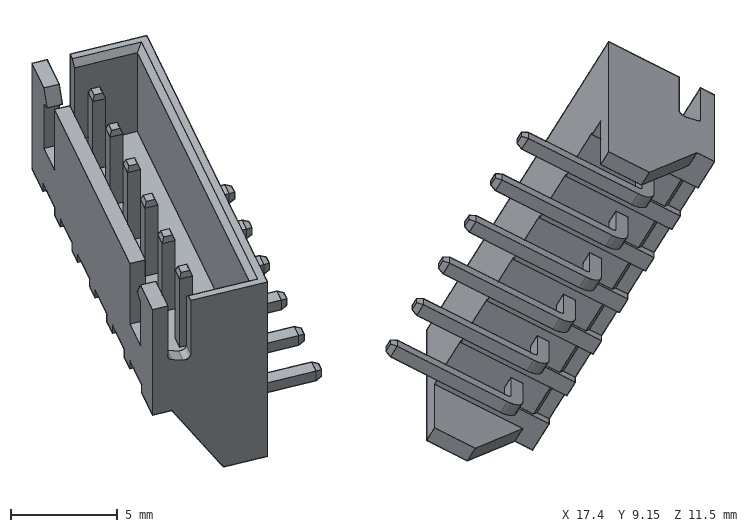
import cadquery as cq
import math


width = 17.4
depth = 5.7
height = 11.5
shroud_height = 6.96
front_wall = 0.77
rear_wall = 0.7
side_wall = 0.65
rim_chamfer = 0.31

front_floor_depth = 5.12
rear_floor_depth = 5.5

leg_thickness = 0.77
leg_foot_depth = 2.2
leg_slope_start = 0.95

slot_rear = 1.9
slot_depth_front = 3.53
slot_angle = 20.0
slot_radius = 0.3

window_edge = 1.74
window_width = 1.51
window_depth = 3.98
barb_reach = 0.47
barb_tip_depth = 0.89
barb_depth = 1.1

pin_count = 6
pin_pitch = 2.5
pin_size = 0.65
pin_front = 2.07
pin_tip_below_rim = 0.31
pin_rear = 9.15
pin_bottom = 2.0
bend_radius = 0.84
tip_length = 0.31
tip_inset = 0.1

channel_width = 1.69
channel_front_height = 0.52
channel_height = 0.2

shroud_bottom = height - shroud_height
pin_back = pin_front + pin_size
pin_positions = [(i - (pin_count - 1) / 2) * pin_pitch for i in range(pin_count)]
leg_slope_run = (depth - leg_foot_depth - leg_slope_start) / shroud_bottom


def box(x0, x1, y0, y1, z0, z1):
    """Box between two opposite corners."""
    return cq.Workplane("XY").box(x1 - x0, y1 - y0, z1 - z0, centered=False).translate((x0, y0, z0))


def extrude_x(points, x0, x1):
    """Extrude a closed (Y, Z) outline from x0 to x1."""
    return cq.Workplane("YZ", origin=(x0, 0, 0)).polyline(points).close().extrude(x1 - x0)


def slope_y(z):
    """Y of the sloping front plane of the legs at height z."""
    return leg_slope_start + (shroud_bottom - z) * leg_slope_run


def make_leg(x0):
    outline = [
        (slope_y(shroud_bottom), shroud_bottom),
        (slope_y(0), 0),
        (depth, 0),
        (depth, shroud_bottom),
    ]
    return extrude_x(outline, x0, x0 + leg_thickness)


def make_cavity():
    """Stepped cavity: the floor is deeper behind the pins."""
    half = width / 2 - side_wall
    rear = depth - rear_wall
    front_part = box(-half, half, front_wall, pin_back, height - front_floor_depth, height)
    rear_part = box(-half, half, pin_back, rear, height - rear_floor_depth, height)
    return front_part.union(rear_part)


def make_rim_chamfer():
    """Tapered lead-in along the rear and side walls; the front wall stays square."""
    half = width / 2 - side_wall
    rear = depth - rear_wall
    lead_in = (
        cq.Workplane("XY", origin=(0, 0, height - rim_chamfer))
        .rect(2 * half, 2 * rear)
        .workplane(offset=rim_chamfer)
        .rect(2 * (half + rim_chamfer), 2 * (rear + rim_chamfer))
        .loft(ruled=True)
    )
    return lead_in.intersect(box(-width, width, front_wall, depth, 0, height))


def make_side_slot():
    """Slot through both side walls just behind the front wall, with a sloping round-cornered bottom."""
    bottom_front = height - slot_depth_front
    bottom_rear = bottom_front - (slot_rear - front_wall) * math.tan(math.radians(slot_angle))
    outline = [
        (front_wall, height),
        (front_wall, bottom_front),
        (slot_rear, bottom_rear),
        (slot_rear, height),
    ]
    slot = extrude_x(outline, -width / 2, width / 2)
    return slot.edges("|X").edges("not(>Z)").fillet(slot_radius)


def make_window(side):
    """Latch window on one side (-1 left, +1 right), narrowed by a barb on its outer edge."""
    outer = width / 2 - window_edge
    inner = outer - window_width
    outline = [
        (inner, height),
        (inner, height - window_depth),
        (outer, height - window_depth),
        (outer, height - barb_depth),
        (outer - barb_reach, height - barb_tip_depth),
        (outer, height),
    ]
    points = [(side * x, z) for x, z in outline]
    return cq.Workplane("XZ").polyline(points).close().extrude(-front_wall)


def make_channel(x):
    """Channel under one pin: taller at the front, then following the leg slope down to a lower roof."""
    front_roof = shroud_bottom + channel_front_height
    roof = shroud_bottom + channel_height
    outline = [
        (0, shroud_bottom),
        (0, front_roof),
        (slope_y(front_roof), front_roof),
        (slope_y(roof), roof),
        (depth, roof),
        (depth, shroud_bottom),
    ]
    return extrude_x(outline, x - channel_width / 2, x + channel_width / 2)


def make_tip(plane):
    """Tapered pin end standing on the given plane."""
    end_size = pin_size - 2 * tip_inset
    return (
        cq.Workplane(plane)
        .rect(pin_size, pin_size)
        .workplane(offset=tip_length)
        .rect(end_size, end_size)
        .loft(ruled=True)
    )


def make_pin(x):
    """Square pin rising into the cavity and bent to leave at the rear."""
    top_shoulder = height - pin_tip_below_rim - tip_length
    rear_shoulder = pin_rear - tip_length
    inner_radius = bend_radius - pin_size
    bend_y = pin_front + bend_radius
    bend_z = pin_bottom + bend_radius
    diagonal = math.sqrt(0.5)
    shank = (
        cq.Workplane("YZ", origin=(x - pin_size / 2, 0, 0))
        .moveTo(pin_front, top_shoulder)
        .lineTo(pin_front, bend_z)
        .threePointArc(
            (bend_y - bend_radius * diagonal, bend_z - bend_radius * diagonal),
            (bend_y, pin_bottom),
        )
        .lineTo(rear_shoulder, pin_bottom)
        .lineTo(rear_shoulder, pin_bottom + pin_size)
        .lineTo(bend_y, pin_bottom + pin_size)
        .threePointArc(
            (bend_y - inner_radius * diagonal, bend_z - inner_radius * diagonal),
            (pin_back, bend_z),
        )
        .lineTo(pin_back, top_shoulder)
        .close()
        .extrude(pin_size)
    )
    top_origin = (x, pin_front + pin_size / 2, top_shoulder)
    rear_origin = (x, rear_shoulder, pin_bottom + pin_size / 2)
    top_tip = make_tip(cq.Plane(top_origin, xDir=(1, 0, 0), normal=(0, 0, 1)))
    rear_tip = make_tip(cq.Plane(rear_origin, xDir=(1, 0, 0), normal=(0, 1, 0)))
    return shank.union(top_tip).union(rear_tip)


housing = box(-width / 2, width / 2, 0, depth, shroud_bottom, height)
for leg_x in (-width / 2, width / 2 - leg_thickness):
    housing = housing.union(make_leg(leg_x))

housing = housing.cut(make_cavity()).cut(make_rim_chamfer()).cut(make_side_slot())
for side in (-1, 1):
    housing = housing.cut(make_window(side))
for pin_x in pin_positions:
    housing = housing.cut(make_channel(pin_x))

result = housing
for pin_x in pin_positions:
    result = result.union(make_pin(pin_x))